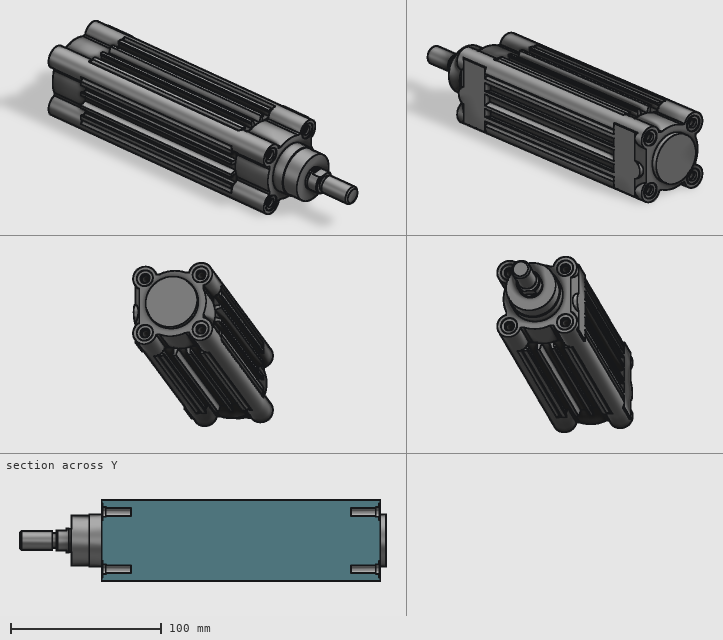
import cadquery as cq
LENGTH = 243.0
REAR_CAP_START = 4.0
CAP_LENGTH = 28.0
FRONT_CAP_END = 188.8
BARREL_START = REAR_CAP_START + CAP_LENGTH
BARREL_END = FRONT_CAP_END - CAP_LENGTH
COLLAR_END = 197.0
NOSE_END = 208.7
MIDDLE = (REAR_CAP_START + FRONT_CAP_END) / 2

WIDTH = 54.0
HALF_WIDTH = WIDTH / 2
CORNER_RADIUS = 8.0
BOLT_OFFSET = HALF_WIDTH - CORNER_RADIUS

CAP_CORE_WIDTH = 41.8
CAP_CORE_DIAMETER = 45.5
SPIGOT_DIAMETER = 35.0
NOSE_DIAMETER = 33.5

RECESS_DIAMETER = 11.0
RECESS_DEPTH = 0.7
THREAD_DIAMETER = 6.3
THREAD_DEPTH = 3.0
DRILL_DIAMETER = 5.0
DRILL_DEPTH = 19.5

PORT_BLOCK_HEIGHT = 46.2
RAMP_LENGTH = 6.8
PORT_BOSS_RADIUS = 6.8
PORT_BOSS_INSET = 8.5
PORT_BOSS_Z = -3.6

SLOT_CENTER = 9.2
SLOT_OPENING = 5.8
SLOT_CAVITY = 7.3
SLOT_LIP = 1.5
SLOT_DEPTH = 5.3
GROOVE_TOP_WIDTH = 8.0
GROOVE_FLOOR_WIDTH = 4.9
GROOVE_DEPTH = 4.4
NOTCH_CENTER = 17.0
NOTCH_WIDTH = 3.6
NOTCH_DEPTH = 2.0

ROD_DIAMETER = 16.0
SHANK_DIAMETER = 15.8
SHANK_END = 210.5
FLATS_START = 212.1
FLATS_WIDTH = 13.4
HEAD_END = 218.7
HEAD_CHAMFER = 0.7
NECK_DIAMETER = 10.2
NECK_END = 221.4
THREADED_END_DIAMETER = 12.6
TIP_CHAMFER = 1.2


def bar(diameter, start, end, y=0, z=0):
    """Round bar along X from start to end."""
    return cq.Workplane("YZ", origin=(start, 0, 0)).center(y, z).circle(diameter / 2).extrude(end - start)


def block(width_y, width_z, start, end):
    """Rectangular bar centred on the X axis from start to end."""
    return cq.Workplane("YZ", origin=(start, 0, 0)).rect(width_y, width_z).extrude(end - start)


def barrel_cutter(points):
    """Prism through the barrel; each point is (across the side, depth below the top surface)."""
    outline = [(across, HALF_WIDTH - depth) for across, depth in points]
    return (
        cq.Workplane("YZ", origin=(BARREL_START, 0, 0))
        .polyline(outline)
        .close()
        .extrude(BARREL_END - BARREL_START)
    )


def make_side_grooves():
    """All the grooves in the top side of the barrel."""
    opening = SLOT_OPENING / 2
    cavity = SLOT_CAVITY / 2
    slot = barrel_cutter([
        (SLOT_CENTER - opening, 0),
        (SLOT_CENTER - opening, SLOT_LIP),
        (SLOT_CENTER - cavity, SLOT_LIP),
        (SLOT_CENTER - cavity, SLOT_DEPTH),
        (SLOT_CENTER + cavity, SLOT_DEPTH),
        (SLOT_CENTER + cavity, SLOT_LIP),
        (SLOT_CENTER + opening, SLOT_LIP),
        (SLOT_CENTER + opening, 0),
    ])
    notch = barrel_cutter([
        (NOTCH_CENTER - NOTCH_WIDTH / 2, 0),
        (NOTCH_CENTER, NOTCH_DEPTH),
        (NOTCH_CENTER + NOTCH_WIDTH / 2, 0),
    ])
    middle_groove = barrel_cutter([
        (-GROOVE_TOP_WIDTH / 2, 0),
        (-GROOVE_FLOOR_WIDTH / 2, GROOVE_DEPTH),
        (GROOVE_FLOOR_WIDTH / 2, GROOVE_DEPTH),
        (GROOVE_TOP_WIDTH / 2, 0),
    ])
    return [middle_groove, slot, notch, slot.mirror("XZ"), notch.mirror("XZ")]


def make_barrel():
    """Rounded square extrusion with the same grooves in all four sides."""
    barrel = block(WIDTH, WIDTH, BARREL_START, BARREL_END).edges("|X").fillet(CORNER_RADIUS)
    grooves = make_side_grooves()
    for turn in (0, 90, 180, 270):
        for groove in grooves:
            barrel = barrel.cut(groove.rotate((0, 0, 0), (1, 0, 0), turn))
    return barrel


def make_port_block():
    """Block on the +Y side of the rear cap, ramped at its outer end, with a round port boss."""
    ramped = (
        cq.Workplane("XY", origin=(0, 0, -PORT_BLOCK_HEIGHT / 2))
        .polyline([
            (REAR_CAP_START, BOLT_OFFSET),
            (REAR_CAP_START, CAP_CORE_DIAMETER / 2),
            (REAR_CAP_START + RAMP_LENGTH, HALF_WIDTH),
            (BARREL_START, HALF_WIDTH),
            (BARREL_START, BOLT_OFFSET),
        ])
        .close()
        .extrude(PORT_BLOCK_HEIGHT)
    )
    boss = (
        cq.Workplane("XZ")
        .center(REAR_CAP_START + PORT_BOSS_INSET, PORT_BOSS_Z)
        .circle(PORT_BOSS_RADIUS)
        .extrude(-HALF_WIDTH)
    )
    return ramped.union(boss)


def make_rear_cap():
    """End cap with a round core, four bolt posts and the port block."""
    start = REAR_CAP_START
    end = BARREL_START
    cap = block(CAP_CORE_WIDTH, CAP_CORE_WIDTH, start, end)
    cap = cap.union(bar(CAP_CORE_DIAMETER, start, end))
    cap = cap.union(make_port_block())
    corners = [(y, z) for y in (-BOLT_OFFSET, BOLT_OFFSET) for z in (-BOLT_OFFSET, BOLT_OFFSET)]
    for y, z in corners:
        cap = cap.union(bar(2 * CORNER_RADIUS, start, end, y, z))
    for y, z in corners:
        cap = cap.cut(bar(RECESS_DIAMETER, start, start + RECESS_DEPTH, y, z))
        cap = cap.cut(bar(THREAD_DIAMETER, start, start + THREAD_DEPTH, y, z))
        cap = cap.cut(bar(DRILL_DIAMETER, start, start + DRILL_DEPTH, y, z))
    return cap


def make_front_cap(rear_cap):
    """Rear cap mirrored to the other end of the barrel."""
    return rear_cap.mirror("YZ", (MIDDLE, 0, 0))


def make_housing():
    """Barrel, both caps, the rear spigot and the stepped front nose, bored for the rod."""
    rear_cap = make_rear_cap()
    sections = [
        rear_cap,
        make_front_cap(rear_cap),
        bar(SPIGOT_DIAMETER, 0, REAR_CAP_START),
        bar(SPIGOT_DIAMETER, FRONT_CAP_END, COLLAR_END),
        bar(NOSE_DIAMETER, COLLAR_END, NOSE_END),
    ]
    housing = make_barrel()
    for section in sections:
        housing = housing.union(section, clean=False)
    return housing.cut(bar(SHANK_DIAMETER, BARREL_END, NOSE_END), clean=False)


def make_rod():
    """Piston rod: shank in the housing, head with two wrench flats, neck and threaded end."""
    shank = bar(SHANK_DIAMETER, BARREL_END, SHANK_END)
    head = bar(ROD_DIAMETER, SHANK_END, HEAD_END).faces(">X").chamfer(HEAD_CHAMFER)
    flats = block(ROD_DIAMETER, FLATS_WIDTH, FLATS_START, HEAD_END)
    head = head.intersect(flats.union(block(ROD_DIAMETER, ROD_DIAMETER, SHANK_END, FLATS_START)))
    neck = bar(NECK_DIAMETER, HEAD_END, NECK_END)
    threaded_end = bar(THREADED_END_DIAMETER, NECK_END, LENGTH).faces(">X").chamfer(TIP_CHAMFER)
    return shank.union(head).union(neck).union(threaded_end)


housing = make_housing()
rod = make_rod()
result = cq.Compound.makeCompound([housing.val(), rod.val()])